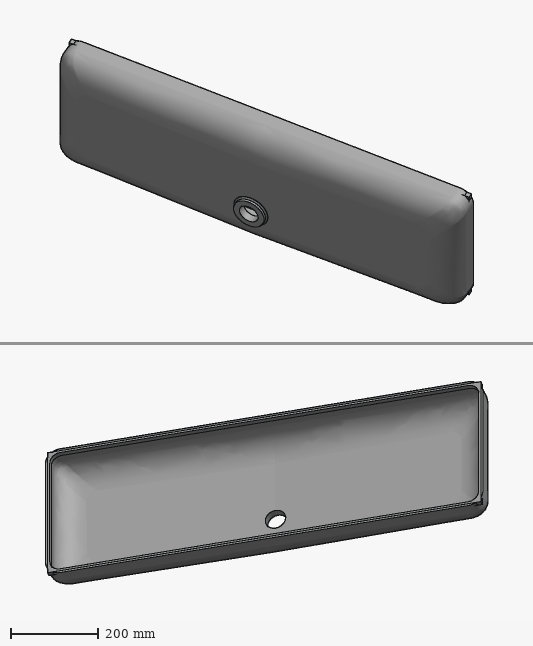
import cadquery as cq
import math

LENGTH = 1044.0
HEIGHT = 342.0
DEPTH = 113.0

SIDE_DEPTH = 34.0
CORNER_RADIUS = 35.0
EDGE_INSET = 65.0
FLOOR_CENTRE_DEPTH = 102.0
FLOOR_END_DEPTH = 93.0
FLOOR_TILT = 2.0
WALL = 10.0
EDGE_SECTIONS = 6

FRAME_INSET = 5.0
FRAME_THICKNESS = 13.0

DRAIN_Z = -56.0
DRAIN_HOLE_DIAMETER = 48.0
DRAIN_COLLAR_DIAMETER = 79.0
DRAIN_BASE_DIAMETER = 88.0
COLLAR_LENGTH = 6.0

FLOOR_SLOPE_X = (FLOOR_CENTRE_DEPTH - FLOOR_END_DEPTH) / (LENGTH / 2 - EDGE_INSET)
FLOOR_SLOPE_Z = FLOOR_TILT / (HEIGHT - 2 * EDGE_INSET)


def floor_depth(x, z):
    """Depth of the outer floor, deepest along the middle and towards the drain."""
    return FLOOR_CENTRE_DEPTH - FLOOR_SLOPE_X * x - FLOOR_SLOPE_Z * z


def half_section(angle, wall):
    """Half outline at one angle of the rounded edge, moved inwards by the wall."""
    inset = EDGE_INSET * (1 - math.cos(angle)) + wall
    right = LENGTH / 2 - inset
    top = HEIGHT / 2 - inset
    radius = CORNER_RADIUS - wall
    corner_gap = radius * (1 - math.sqrt(0.5))

    def point(x, z):
        rounded_depth = floor_depth(x, z) - wall - SIDE_DEPTH
        return cq.Vector(x, -SIDE_DEPTH - rounded_depth * math.sin(angle), z)

    top_start = point(right - radius, top)
    top_end = point(right, top - radius)
    bottom_start = point(right, radius - top)
    bottom_end = point(right - radius, -top)
    top_middle = point(right - corner_gap, top - corner_gap)
    bottom_middle = point(right - corner_gap, corner_gap - top)
    return cq.Wire.assembleEdges([
        cq.Edge.makeLine(point(0, top), top_start),
        cq.Edge.makeThreePointArc(top_start, top_middle, top_end),
        cq.Edge.makeLine(top_end, bottom_start),
        cq.Edge.makeThreePointArc(bottom_start, bottom_middle, bottom_end),
        cq.Edge.makeLine(bottom_end, point(0, -top)),
        cq.Edge.makeLine(point(0, -top), point(0, top)),
    ])


def block(length, height, depth):
    """Plain block from the open side to the given depth."""
    return cq.Workplane("XZ").rect(length, height).extrude(depth)


def tub(wall):
    """Solid with straight sides, a rounded edge and a V-shaped floor."""
    sides = block(LENGTH - 2 * wall, HEIGHT - 2 * wall, SIDE_DEPTH)
    sides = sides.edges("|Y").fillet(CORNER_RADIUS - wall)
    angles = [math.pi / 2 * i / (EDGE_SECTIONS - 1) for i in range(EDGE_SECTIONS)]
    half = cq.Workplane(cq.Solid.makeLoft([half_section(a, wall) for a in angles]))
    return sides.union(half).union(half.mirror("YZ"))


def drain_cylinder(diameter, start_depth, end_depth):
    plane = cq.Workplane("XZ", origin=(0, -start_depth, DRAIN_Z))
    return plane.circle(diameter / 2).extrude(end_depth - start_depth)


def drain_boss():
    """Collar on a conical base that starts inside the floor."""
    collar_start = DEPTH - COLLAR_LENGTH
    base_start = floor_depth(0, DRAIN_Z)
    root = drain_cylinder(DRAIN_BASE_DIAMETER, base_start - WALL / 2, base_start)
    base = (
        cq.Workplane("XZ", origin=(0, -base_start, DRAIN_Z))
        .circle(DRAIN_BASE_DIAMETER / 2)
        .workplane(offset=collar_start - base_start)
        .circle(DRAIN_COLLAR_DIAMETER / 2)
        .loft(ruled=True)
    )
    collar = drain_cylinder(DRAIN_COLLAR_DIAMETER, collar_start, DEPTH)
    return root.union(base).union(collar)


def make_basin():
    """Hollow basin with a drain and a seat for the frame."""
    seat = block(LENGTH - 2 * FRAME_INSET, HEIGHT - 2 * FRAME_INSET, FRAME_THICKNESS)
    shell = tub(0).cut(tub(WALL)).union(drain_boss())
    return shell.cut(drain_cylinder(DRAIN_HOLE_DIAMETER, 0, DEPTH)).cut(seat)


def make_frame():
    """Square-cornered frame whose opening continues the basin cavity."""
    plate = block(LENGTH - 2 * FRAME_INSET, HEIGHT - 2 * FRAME_INSET, FRAME_THICKNESS)
    opening = block(LENGTH - 2 * WALL, HEIGHT - 2 * WALL, FRAME_THICKNESS)
    return plate.cut(opening.edges("|Y").fillet(CORNER_RADIUS - WALL))


basin = make_basin()
frame = make_frame()
result = cq.Compound.makeCompound([basin.val(), frame.val()])